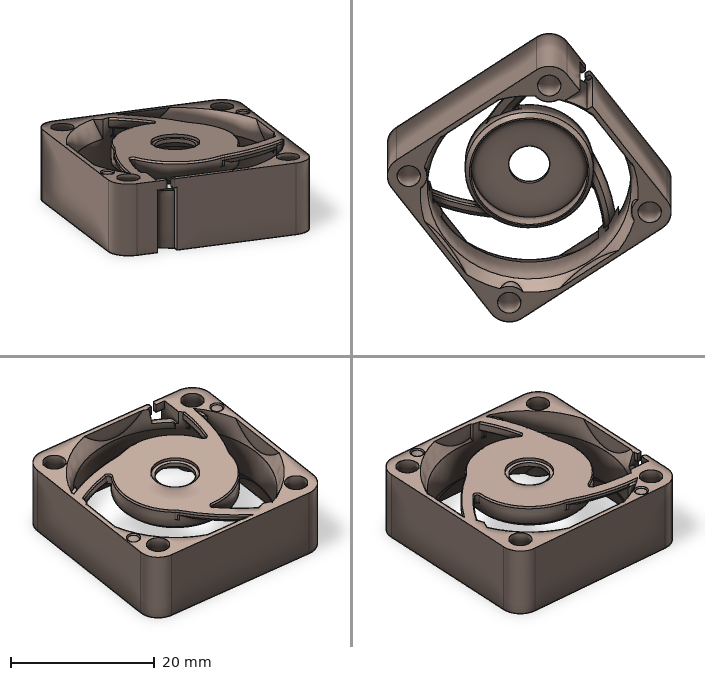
import cadquery as cq
side = 30.0
height = 10.5
corner_radius = 3.05
wall = 0.75
mount_offset = 12.0
mount_diameter = 3.2

throat_radius = 14.15
flare_radius = 15.15
top_flare_depth = 2.88
bottom_flare_depth = 2.25
wall_face = side / 2 - wall + 0.03
boss_radius = 2.52

hub_radius = 8.9
hub_depth = 3.4
hub_bottom_chamfer = 0.6
hub_plate = 1.05
cup_radius = 8.1
hole_radius = 2.85
recess_radius = 3.4
recess_depth = 0.45

spoke_count = 3
spoke_turns = [index * 360 / spoke_count for index in range(spoke_count)]
spoke_depth = 1.55
spoke_end = 15.6
leading_end = (1.68, spoke_end)
leading_point = (4.5, 10.38)
slot_corner = (5.58, 6.9)
trailing_end = (3.85, spoke_end)
trailing_point = (7.05, 8.67)
hub_corner = (8.1, 3.57)
leading_chamfer = 0.25
trailing_chamfer = 0.85
rim_chamfer_width = 0.15
rim_chamfer_height = 0.3
root_fillet = 0.42
hub_blend = 2.4

leading_root = [(0.6, 15.6), (1.95, 13.8), (3.6, 13.8), (3.6, 15.6)]
trailing_root = [(3.6, 15.6), (3.6, 13.8), (5.7, 12.15), (6.45, 12.15), (4.5, 15.6)]
ledge_drop = 0.3

mark_x = 8.67
mark_y = -13.77
mark_radius = 1.0
mark_floor_radius = 0.8
mark_depth = 0.18

outlet_start = -8.85
outlet_end = -5.9
slit_start = -7.35
slit_end = -6.55
hook_depth = 1.32
hook_inner_face = side / 2 - wall - 0.03
hook_rounding = 0.25
liner_radius = 15.3
liner_drop = 2.05
outlet_inner_radius = 12.95
select_margin = 0.03


def disc(radius, bottom, top):
    """Upright cylinder on the part axis between two levels."""
    return cq.Workplane("XY").workplane(offset=bottom).circle(radius).extrude(top - bottom)


def prism(outline, bottom, top):
    """Upright prism with a straight-sided outline."""
    return cq.Workplane("XY").workplane(offset=bottom).polyline(outline).close().extrude(top - bottom)


def block(x_range, y_range, z_range):
    """Box between the given limits."""
    sizes = [high - low for low, high in (x_range, y_range, z_range)]
    corner = (x_range[0], y_range[0], z_range[0])
    return cq.Workplane("XY").box(*sizes, centered=False).translate(corner)


def around_axis(body):
    """Union of one copy of the body per spoke, evenly spaced around the axis."""
    ring = body
    for turn in spoke_turns[1:]:
        ring = ring.union(body.rotate((0, 0, 0), (0, 0, 1), turn))
    return ring


def corner_posts(radius, top):
    """Upright cylinders on the four mounting hole axes, rising from the bottom face."""
    spacing = 2 * mount_offset
    centres = cq.Workplane("XY").rect(spacing, spacing, forConstruction=True).vertices()
    return centres.circle(radius).extrude(top)


def square_block():
    """Outer block of the frame with rounded upright corners."""
    return cq.Workplane("XY").rect(side, side).extrude(height).edges("|Z").fillet(corner_radius)


def air_bore():
    """Flared passage, cut off flat along the four walls and around the corner bosses."""
    profile = [
        (0, 0),
        (flare_radius, 0),
        (throat_radius, bottom_flare_depth),
        (throat_radius, height - top_flare_depth),
        (flare_radius, height),
        (0, height),
    ]
    passage = cq.Workplane("XZ").polyline(profile).close().revolve(360, (0, 0, 0), (0, 1, 0))
    mouth = cq.Workplane("XY").rect(2 * wall_face, 2 * wall_face).extrude(height)
    return passage.intersect(mouth).cut(corner_posts(boss_radius, bottom_flare_depth))


def spoke():
    """Curved spoke from the axis into the +Y wall."""
    return (
        cq.Workplane("XY")
        .workplane(offset=height - spoke_depth)
        .lineTo(*slot_corner)
        .threePointArc(leading_point, leading_end)
        .lineTo(*trailing_end)
        .threePointArc(trailing_point, hub_corner)
        .close()
        .extrude(spoke_depth)
    )


def spoke_undercuts():
    """Slivers that thin the underside of the spokes along both of their edges."""
    blade = spoke()
    underside = height - spoke_depth
    for point, size in ((trailing_point, trailing_chamfer), (leading_point, leading_chamfer)):
        edge = cq.selectors.NearestToPointSelector((*point, underside))
        blade = blade.faces("<Z").edges(edge).chamfer(size)
    return around_axis(spoke().cut(blade))


def star_plate():
    """Hub disc and spokes with rounded slot ends, blended hub corners and a bevelled rim."""
    plate = disc(hub_radius, height - spoke_depth, height).union(around_axis(spoke()))
    for turn in spoke_turns:
        for point, radius in ((slot_corner, root_fillet), (hub_corner, hub_blend)):
            spot = cq.Vertex.makeVertex(*point, height).rotate((0, 0, 0), (0, 0, 1), turn)
            corner = cq.selectors.NearestToPointSelector(spot.toTuple())
            plate = plate.edges("|Z").edges(corner).fillet(radius)
    plate = plate.faces(">Z").edges().chamfer(rim_chamfer_height, rim_chamfer_width)
    return plate.cut(spoke_undercuts())


def rotor_support():
    """Hub cup hanging from the star-shaped plate, trimmed to fit inside the frame."""
    skirt = disc(hub_radius, height - hub_depth, height - rim_chamfer_height)
    skirt = skirt.faces("<Z").edges().chamfer(hub_bottom_chamfer)
    support = star_plate().union(skirt)
    support = support.cut(disc(cup_radius, 0, height - hub_plate))
    return support.intersect(disc(flare_radius, 0, height))


def spoke_roots():
    """Fillings of the top flare on both sides of each spoke, the trailing one stopping at a ledge."""
    flare_bottom = height - top_flare_depth
    leading = prism(leading_root, flare_bottom, height)
    trailing = prism(trailing_root, flare_bottom, height - ledge_drop)
    ring = disc(flare_radius, 0, height).cut(disc(throat_radius, 0, height))
    return around_axis(leading.union(trailing)).intersect(ring)


def marks():
    """Two shallow tapered recesses, opposite each other across the axis."""
    mark = (
        cq.Workplane("XY")
        .workplane(offset=height - mark_depth)
        .center(mark_x, mark_y)
        .circle(mark_floor_radius)
        .workplane(offset=mark_depth)
        .circle(mark_radius)
        .loft()
    )
    return mark.union(mark.rotate((0, 0, 0), (0, 0, 1), 180))


def cable_outlet():
    """Opening through the +X wall that leaves two hooks at the top and a lowered bore liner."""
    outlet = (outlet_start, outlet_end)
    opening = block((0, side), outlet, (0, height))
    opening = opening.cut(disc(liner_radius, 0, height - liner_drop))
    opening = opening.cut(disc(outlet_inner_radius, 0, height))
    hooks = block((hook_inner_face, side / 2), outlet, (height - hook_depth, height))
    hooks = hooks.cut(block((0, side), (slit_start, slit_end), (0, height)))
    tips = cq.selectors.BoxSelector(
        (side / 2 - select_margin, slit_start - select_margin, 0),
        (side / 2 + select_margin, slit_end + select_margin, height),
    )
    hooks = hooks.edges("|Z").edges(tips).fillet(hook_rounding)
    return opening.cut(hooks)


frame = square_block().cut(air_bore()).union(spoke_roots())
frame = frame.cut(corner_posts(mount_diameter / 2, height)).cut(marks()).cut(cable_outlet())
centre_hole = disc(hole_radius, 0, height).union(disc(recess_radius, height - recess_depth, height))
outer_limits = cq.Workplane("XY").rect(side, side).extrude(height)
result = frame.union(rotor_support()).cut(centre_hole).intersect(outer_limits)